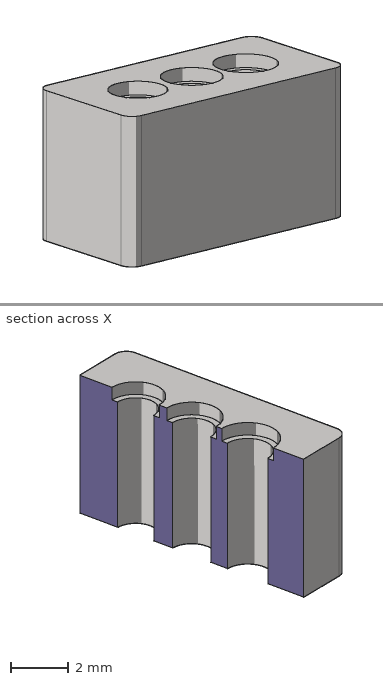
import cadquery as cq

width = 5.0
length = 10.0
height = 5.5
corner_radius = 0.5

hole_pitch = 2.5
hole_diameters = [1.6, 1.7, 1.8]
counterbore_step = 0.25
counterbore_depth = 0.5


def make_block():
    """Upright block standing on Z = 0 with rounded vertical edges."""
    block = cq.Workplane("XY").box(width, length, height, centered=(True, True, False))
    return block.edges("|Z").fillet(corner_radius)


def cut_counterbored_hole(body, y, diameter):
    """Through hole on the Y axis, with a wider recess at the top face."""
    counterbore_diameter = diameter + 2 * counterbore_step
    top = cq.Workplane("XY", origin=(0, y, height))
    hole = top.circle(diameter / 2).extrude(-height)
    counterbore = top.circle(counterbore_diameter / 2).extrude(-counterbore_depth)
    return body.cut(hole).cut(counterbore)


result = make_block()
first_hole_y = -hole_pitch * (len(hole_diameters) - 1) / 2
for index, hole_diameter in enumerate(hole_diameters):
    result = cut_counterbored_hole(result, first_hole_y + index * hole_pitch, hole_diameter)